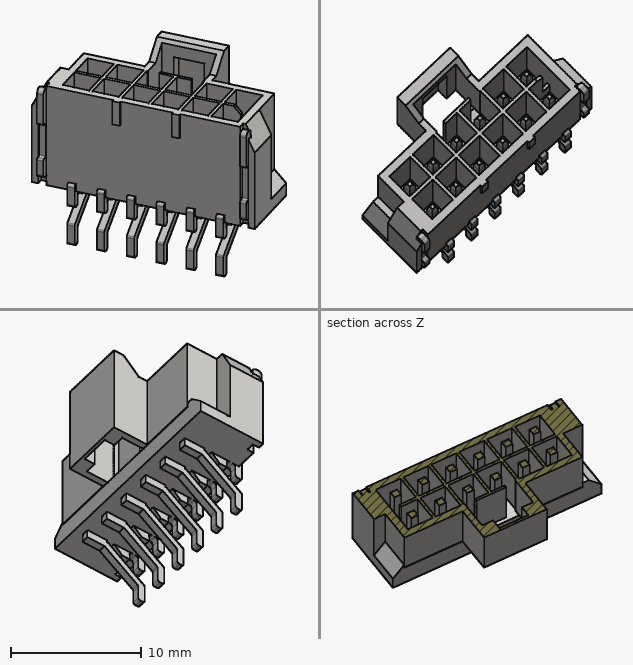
import cadquery as cq


overall_width = 18.74
overall_height = 14.75
base_center_x = -0.3
base_depth = 5.98
housing_depth = 6.02
housing_height = 8.65
ear_depth = 3.17
ear_chamfer_x = 1.01
ear_chamfer_z = 2.0
rear_wall_left = -7.96
foot_wall_height = 1.07
foot_slope = 1.15

base_left = base_center_x - overall_width / 2
base_right = base_center_x + overall_width / 2
rear_wall_right = base_right - ear_chamfer_x

columns = 6
row_length = 12.5
pitch = row_length / (columns - 1)
cavity_size = 2.21
row_front_y = 1.76
row_rear_y = row_front_y + pitch
floor_z = 1.78
column_xs = [i * pitch - row_length / 2 for i in range(columns)]
cavity_rear_y = row_rear_y + cavity_size / 2

contact_width = 0.64
contact_tip_width = 0.32
contact_tip_length = 0.75
contact_top_z = 6.37
mounting_y = -0.3
tail_rear_y = mounting_y + contact_width
tail_round = 0.22
shoulder_z = -0.77

latch_width = 5.66
latch_opening = 4.55
latch_rear_y = 9.18
latch_inner_y = 7.98
latch_bottom_z = floor_z
latch_top_z = 10.12
latch_slope = latch_top_z - housing_height
latch_flat_y = 8.26
recess_width = 2.57
recess_depth = 0.94
recess_top_z = 8.8
tab_width = 2.68
tab_thickness = 0.26

rib_width = 0.64
rib_height = 2.02
rib_projection = 0.19

notch_width = 0.73
notch_chamfer = 0.6
notch_floor_z = 3.75

groove_offset = 8.49
groove_width = 0.7
groove_depth = 0.58
clip_width = 0.55
clip_offset = 8.53
clip_top_z = 8.35
clip_bottom_z = 0.7
clip_waist_y = 0.11
clip_waist_top_z = 5.3
clip_waist_bottom_z = 2.35
clip_top_round = 0.37
clip_end_round = 0.28
clip_step_round = 0.13


def box(x0, x1, y0, y1, z0, z1):
    return cq.Workplane("XY").box(x1 - x0, y1 - y0, z1 - z0, centered=False).translate((x0, y0, z0))


def side_profile(points, width, x_center):
    """Extrude a (y, z) outline along X, centred on x_center."""
    profile = cq.Workplane("YZ").polyline(points).close().extrude(width / 2, both=True)
    return profile.translate((x_center, 0, 0))


def round_corner(body, y, z, x_center, radius):
    """Round the edge along X that passes through (y, z)."""
    return body.edges(cq.selectors.NearestToPointSelector((x_center, y, z))).fillet(radius)


def front_profile(points, y0, y1):
    """Extrude an (x, z) outline from y0 to y1."""
    return cq.Workplane("XZ", origin=(0, y0, 0)).polyline(points).close().extrude(y0 - y1)


def housing():
    ear_edge_z = housing_height - ear_chamfer_z
    eared_front = front_profile(
        [
            (base_left, 0),
            (base_right, 0),
            (base_right, ear_edge_z),
            (base_right - ear_chamfer_x, housing_height),
            (base_left + ear_chamfer_x, housing_height),
            (base_left, ear_edge_z),
        ],
        0,
        ear_depth,
    )
    foot_top_z = foot_wall_height + foot_slope
    feet = front_profile(
        [
            (base_left, 0),
            (base_right, 0),
            (base_right, foot_wall_height),
            (base_right - foot_slope, foot_top_z),
            (base_left + foot_slope, foot_top_z),
            (base_left, foot_wall_height),
        ],
        ear_depth,
        base_depth,
    )
    rear = box(rear_wall_left, rear_wall_right, ear_depth, housing_depth, floor_z, housing_height)
    return eared_front.union(feet).union(rear)


def latch():
    half = latch_opening / 2
    loop = side_profile(
        [
            (cavity_rear_y, latch_bottom_z),
            (latch_rear_y, latch_bottom_z),
            (latch_rear_y, latch_top_z),
            (latch_flat_y, latch_top_z),
            (latch_flat_y - latch_slope, housing_height),
            (cavity_rear_y, housing_height),
        ],
        latch_width,
        0,
    )
    loop = loop.cut(box(-half, half, housing_depth, latch_inner_y, latch_bottom_z, latch_top_z))
    recess = box(
        -recess_width / 2,
        recess_width / 2,
        latch_inner_y,
        latch_inner_y + recess_depth,
        latch_bottom_z,
        recess_top_z,
    )
    return loop.cut(recess)


def cavities():
    half = cavity_size / 2
    cuts = cq.Workplane("XY")
    for x in column_xs:
        for y in (row_front_y, row_rear_y):
            cuts = cuts.union(box(x - half, x + half, y - half, y + half, floor_z, housing_height))
    return cuts


def latch_window():
    """Rear wall opening between the latch legs, leaving a tab behind the middle divider."""
    half = latch_opening / 2
    window = box(-half, half, cavity_rear_y, housing_depth, floor_z, housing_height)
    tab = box(
        -tab_width / 2,
        tab_width / 2,
        cavity_rear_y,
        cavity_rear_y + tab_thickness,
        floor_z,
        housing_height,
    )
    return window.cut(tab)


def divider_notch():
    right = column_xs[-1] + cavity_size / 2
    left = right - notch_width
    outline = [
        (right, notch_floor_z),
        (right, housing_height),
        (left - notch_chamfer, housing_height),
        (left, housing_height - notch_chamfer),
        (left, notch_floor_z),
    ]
    return front_profile(outline, row_front_y + cavity_size / 2, row_rear_y - cavity_size / 2)


def front_rib(side):
    center = side * (latch_width - rib_width) / 2
    return box(
        center - rib_width / 2,
        center + rib_width / 2,
        -rib_projection,
        0,
        housing_height - rib_height,
        housing_height,
    )


def clip_groove(side):
    center = base_center_x + side * groove_offset
    half = groove_width / 2
    return box(center - half, center + half, 0, groove_depth, 0, housing_height)


def clip(side):
    x = base_center_x + side * clip_offset
    body = side_profile(
        [
            (groove_depth, clip_bottom_z),
            (mounting_y, clip_bottom_z),
            (mounting_y, clip_waist_bottom_z),
            (clip_waist_y, clip_waist_bottom_z),
            (clip_waist_y, clip_waist_top_z),
            (mounting_y, clip_waist_top_z),
            (mounting_y, clip_top_z),
            (groove_depth, clip_top_z),
        ],
        clip_width,
        x,
    )
    body = round_corner(body, mounting_y, clip_top_z, x, clip_top_round)
    body = round_corner(body, groove_depth, clip_top_z, x, clip_top_round)
    body = round_corner(body, mounting_y, clip_bottom_z, x, clip_end_round)
    for z in (clip_waist_bottom_z, clip_waist_top_z):
        for y in (mounting_y, clip_waist_y):
            body = round_corner(body, y, z, x, clip_step_round)
    return body


def contact_blade(x, y):
    """Square blade standing on the cavity floor, with a tapered tip."""
    half = contact_width / 2
    taper_z = contact_top_z - contact_tip_length
    shaft = box(x - half, x + half, y - half, y + half, floor_z, taper_z)
    tip = (
        cq.Workplane("XY", origin=(x, y, taper_z))
        .rect(contact_width, contact_width)
        .workplane(offset=contact_tip_length)
        .rect(contact_tip_width, contact_tip_width)
        .loft(combine=True)
    )
    return shaft.union(tip)


def front_tail(x):
    """Short tail: bar through the bottom of the front wall, bent down, with a bend behind it."""
    tip_z = -1.31
    bar_top_z = 0.65
    bend_front_y = 1.16
    bend_rear_y = 1.87
    bend_top_y = bend_rear_y - shoulder_z
    arch_round = 0.28
    tail = side_profile(
        [
            (mounting_y, tip_z),
            (mounting_y, bar_top_z),
            (bend_rear_y, bar_top_z),
            (bend_top_y, 0),
            (bend_rear_y, shoulder_z),
            (bend_front_y, shoulder_z),
            (bend_front_y, 0),
            (tail_rear_y, 0),
            (tail_rear_y, tip_z),
        ],
        contact_width,
        x,
    )
    for y in (tail_rear_y, bend_front_y):
        tail = round_corner(tail, y, 0, x, arch_round)
    tail = round_corner(tail, mounting_y, bar_top_z, x, tail_round)
    for y in (mounting_y, tail_rear_y):
        tail = round_corner(tail, y, tip_z, x, tail_round)
    return tail


def rear_tail(x):
    """Long tail: slants forward under the housing, then drops to the board."""
    tip_z = latch_top_z - overall_height
    knee_front_z = -2.8
    knee_rear_z = -3.13
    slant_top_z = -0.15
    slant_top_y = 3.3
    slant_bottom_y = 3.56
    heel_y = 5.2
    knee_round = 0.19
    tail = side_profile(
        [
            (mounting_y, tip_z),
            (mounting_y, knee_front_z),
            (slant_top_y, slant_top_z),
            (slant_top_y, 0),
            (heel_y, 0),
            (heel_y, shoulder_z),
            (slant_bottom_y, shoulder_z),
            (tail_rear_y, knee_rear_z),
            (tail_rear_y, tip_z),
        ],
        contact_width,
        x,
    )
    tail = round_corner(tail, mounting_y, knee_front_z, x, knee_round)
    tail = round_corner(tail, tail_rear_y, knee_rear_z, x, knee_round)
    for y in (mounting_y, tail_rear_y):
        tail = round_corner(tail, y, tip_z, x, tail_round)
    return tail


result = housing().union(latch())
result = result.cut(cavities()).cut(latch_window()).cut(divider_notch())
for side in (-1, 1):
    result = result.union(front_rib(side)).cut(clip_groove(side)).union(clip(side))
for x in column_xs:
    for y in (row_front_y, row_rear_y):
        result = result.union(contact_blade(x, y))
    result = result.union(front_tail(x)).union(rear_tail(x))